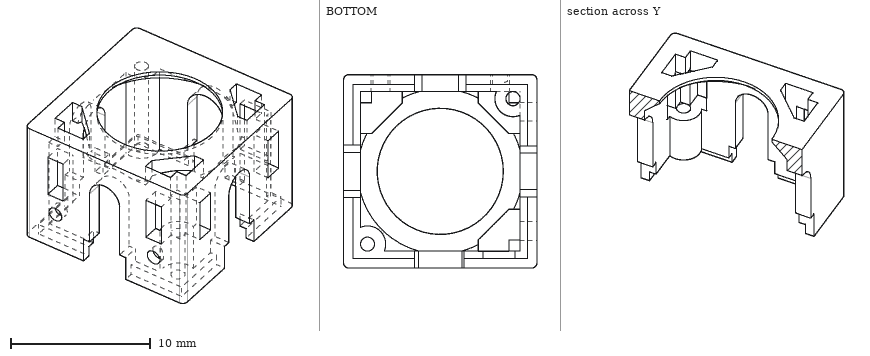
import cadquery as cq

SIDE = 13.85
HEIGHT = 10.0
CORNER_RADIUS = 0.4
HALF_SIDE = SIDE / 2

WALL = 1.225
THIN_WALL = 0.7
ROOF_THICKNESS = 1.7
SEAT_DEPTH = 0.86
HALF_CAVITY = HALF_SIDE - WALL
HALF_SEAT = HALF_SIDE - THIN_WALL
CEILING = HEIGHT - ROOF_THICKNESS

BORE_RADIUS = 4.5
BORE_LAND = 0.3
FLARE_RADIUS = 5.9

OPENING_START = 2.72
TAB_SIZE = 0.8
OPENING_CORNERS = [(-1, -1), (1, -1), (1, 1)]

BOSS_CENTER = 5.2
BOSS_RADIUS = 1.3
BOSS_BORE_RADIUS = 0.5
SHORT_BOSS_TOP = 4.7

SLOT_HALF_WIDTH = 1.3
FRONT_SLOT_TOP = 7.72
RIGHT_SLOT_TOP = 7.6
FOOT_HALF_WIDTH = 1.83
FOOT_HEIGHT = 2.0
BACK_SLOT_HALF_WIDTH = 1.55
BACK_SLOT_TOP = 7.6
BACK_FOOT_NARROW_SIDE = 1.71
LEFT_SLOT_HALF_WIDTH = 1.36
LEFT_SLOT_TOP = 7.43
LEFT_FOOT_HALF_WIDTH = 1.88
LEFT_FOOT_HEIGHT = 2.2

WINDOW_OFFSET = 4.27
WINDOW_WIDTH = 1.34
WINDOW_BOTTOM = 4.7
WINDOW_TOP = 8.1
BLIND_HOLE_RADIUS = 0.55
BLIND_HOLE_DEPTH = HALF_SIDE - HALF_SEAT
BLIND_HOLE_HEIGHT = 3.15

RECESS_LEFT = 3.04
RECESS_RIGHT = 5.35
RECESS_BACK = HALF_SEAT
BAR_BOTTOM = 3.75
BAR_TOP = 4.12


def box_between(x0, x1, y0, y1, z0, z1):
    return cq.Workplane("XY", origin=(x0, y0, z0)).box(x1 - x0, y1 - y0, z1 - z0, centered=False)


def square_block(half, z0, z1):
    return box_between(-half, half, -half, half, z0, z1)


def cylinder(x, y, radius, z0, z1):
    return cq.Workplane("XY", origin=(x, y, z0)).circle(radius).extrude(z1 - z0)


def turned(shape, angle):
    """Turn a cutter made for the front wall about Z, to another wall."""
    return shape.rotate((0, 0, 0), (0, 0, 1), angle)


def shell():
    body = square_block(HALF_SIDE, 0, HEIGHT).edges("|Z").fillet(CORNER_RADIUS)
    body = body.cut(square_block(HALF_CAVITY, 0, CEILING))
    return body.cut(square_block(HALF_SEAT, 0, SEAT_DEPTH))


def roof_bore():
    """Round bore with a flare below it, the flare trimmed to the cavity walls."""
    profile = [
        (0, CEILING),
        (FLARE_RADIUS, CEILING),
        (BORE_RADIUS, HEIGHT - BORE_LAND),
        (BORE_RADIUS, HEIGHT),
        (0, HEIGHT),
    ]
    bore = cq.Workplane("XZ").polyline(profile).close().revolve(360, (0, 0, 0), (0, 1, 0))
    return bore.intersect(square_block(HALF_CAVITY, 0, HEIGHT))


def roof_opening(x_sign, y_sign):
    end = HALF_CAVITY
    tab = end - TAB_SIZE
    outline = [
        (OPENING_START, tab),
        (OPENING_START, end),
        (tab, end),
        (tab, tab),
        (end, tab),
        (end, OPENING_START),
        (tab, OPENING_START),
    ]
    points = [(x_sign * x, y_sign * y) for x, y in outline]
    return cq.Workplane("XY", origin=(0, 0, CEILING)).polyline(points).close().extrude(ROOF_THICKNESS)


def slot(half_width, top, foot_left, foot_right, foot_height):
    """Arched slot and its foot through the front wall."""
    spring = top - half_width
    arch = (
        cq.Workplane("XZ")
        .moveTo(-half_width, 0)
        .lineTo(-half_width, spring)
        .threePointArc((0, top), (half_width, spring))
        .lineTo(half_width, 0)
        .close()
        .extrude(HALF_SIDE)
    )
    return arch.union(box_between(-foot_left, foot_right, -HALF_SIDE, 0, 0, foot_height))


def wall_slots():
    foot = FOOT_HALF_WIDTH
    left_foot = LEFT_FOOT_HALF_WIDTH
    front = slot(SLOT_HALF_WIDTH, FRONT_SLOT_TOP, foot, foot, FOOT_HEIGHT)
    right = slot(SLOT_HALF_WIDTH, RIGHT_SLOT_TOP, foot, foot, FOOT_HEIGHT)
    back = slot(BACK_SLOT_HALF_WIDTH, BACK_SLOT_TOP, BACK_FOOT_NARROW_SIDE, foot, FOOT_HEIGHT)
    left = slot(LEFT_SLOT_HALF_WIDTH, LEFT_SLOT_TOP, left_foot, left_foot, LEFT_FOOT_HEIGHT)
    return [front, turned(right, 90), turned(back, 180), turned(left, 270)]


def window(offset):
    """Rectangular window through the front wall."""
    left = offset - WINDOW_WIDTH / 2
    right = offset + WINDOW_WIDTH / 2
    return box_between(left, right, -HALF_SIDE, -HALF_CAVITY, WINDOW_BOTTOM, WINDOW_TOP)


def blind_hole(offset):
    """Round hole into the front wall that stops short of the cavity."""
    plane = cq.Workplane("XZ", origin=(offset, -HALF_SIDE, BLIND_HOLE_HEIGHT))
    return plane.circle(BLIND_HOLE_RADIUS).extrude(-BLIND_HOLE_DEPTH)


def back_recess():
    return box_between(RECESS_LEFT, RECESS_RIGHT, HALF_CAVITY, RECESS_BACK, SEAT_DEPTH, CEILING)


def recess_bar():
    """Bar across the recess, with an underside that slopes down to the back at 45 degrees."""
    depth = RECESS_BACK - HALF_CAVITY
    section = [
        (HALF_CAVITY, BAR_BOTTOM),
        (HALF_CAVITY, BAR_TOP),
        (RECESS_BACK, BAR_TOP),
        (RECESS_BACK, BAR_BOTTOM - depth),
    ]
    plane = cq.Workplane("YZ", origin=(RECESS_LEFT, 0, 0))
    return plane.polyline(section).close().extrude(RECESS_RIGHT - RECESS_LEFT)


def add_boss(body, x, y, top):
    """Bored boss that rises from the seat and merges into the two walls of its corner."""
    body = body.union(cylinder(x, y, BOSS_RADIUS, SEAT_DEPTH, top))
    return body.cut(cylinder(x, y, BOSS_BORE_RADIUS, SEAT_DEPTH, top))


result = shell().cut(roof_bore())

for x_sign, y_sign in OPENING_CORNERS:
    result = result.cut(roof_opening(x_sign, y_sign))

for wall_slot in wall_slots():
    result = result.cut(wall_slot)

for offset in (-WINDOW_OFFSET, WINDOW_OFFSET):
    result = result.cut(window(offset))
    result = result.cut(turned(window(offset), 90))
    result = result.cut(blind_hole(offset))

result = result.cut(back_recess()).union(recess_bar())

result = add_boss(result, BOSS_CENTER, -BOSS_CENTER, SHORT_BOSS_TOP)
result = add_boss(result, -BOSS_CENTER, BOSS_CENTER, CEILING)